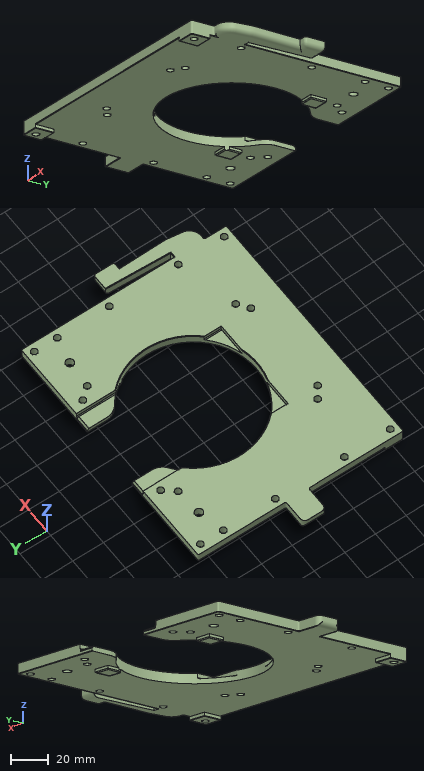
import math

import cadquery as cq

plate_width = 160.0
plate_depth = 134.0
plate_thickness = 6.0
plate_corner_radius = 1.0
bottom_edge_chamfer = 0.29
overall_width = 192.0
overall_height = 8.0
back_y = plate_depth / 2
side_x = plate_width / 2
foot_height = overall_height - plate_thickness

opening_y = 12.5
opening_radius = 41.6
opening_rim_chamfer = 0.4
mouth_half_width = 20.3
lip_radius = 10.0

recess_half_width = 30.1
recess_front_y = -27.6
recess_depth = 3.0
recess_floor_chamfer = 0.5
recess_back_chamfer = 1.2

screw_hole_diameter = 4.0
edge_hole_x = 75.0
edge_hole_ys = (62.0, 47.0, 13.0, -32.0, -62.0)
inner_hole_points = ((35.1, 59.1), (41.0, 52.0), (37.0, -42.0), (30.1, -47.0))
dowel_hole_diameter = 5.0
dowel_hole_x = 58.3
dowel_hole_y = 50.9

foot_size = 11.9
pad_size = 10.2
pad_edge_chamfer = 0.5
pad_x = 40.3
pad_y = 37.5

tab_front_y = -5.2
tab_width = 15.0
tab_end_radius = 3.0
hook_top_y = 8.3
hook_corner_radius = 1.5
clip_bottom_radius = 2.9
clip_outer_x = 91.2
clip_bend_x = 91.7
clip_bend_y = -35.5
clip_bend_radius = 19.2
clip_heel_x = 89.5
clip_heel_radius = 8.0
clip_root_y = -52.5
slot_bottom_y = -33.0
slot_bottom_x = 83.3
slot_top_x = 85.0
slot_rim_chamfer = 0.4
root_radius = 1.0
root_overlap = 2.0
pick_margin = 0.2


def block(x_min, x_max, y_min, y_max, z_top, height):
    """Box given by its limits in X and Y, hanging down from z_top."""
    return (
        cq.Workplane("XY", origin=(0, 0, z_top - height))
        .moveTo((x_min + x_max) / 2, (y_min + y_max) / 2)
        .rect(x_max - x_min, y_max - y_min)
        .extrude(height)
    )


def both_sides(points):
    return [(side * x, y) for x, y in points for side in (-1, 1)]


def make_plate():
    plate = block(-side_x, side_x, -back_y, back_y, 0, plate_thickness)
    plate = plate.edges("|Z").fillet(plate_corner_radius)
    return plate.faces("<Z").edges().chamfer(bottom_edge_chamfer)


def make_feet():
    """Full-height blocks at the front corners that stand below the plate."""
    foot = block(-side_x, foot_size - side_x, -back_y, foot_size - back_y, 0, overall_height)
    foot = foot.edges("|Z and <X and <Y").fillet(plate_corner_radius)
    foot = foot.faces("<Z").edges().chamfer(bottom_edge_chamfer)
    return foot.union(foot.mirror("YZ"))


def make_tab():
    tab_left_x = -overall_width / 2
    tab_back_y = tab_front_y + tab_width
    tab = block(tab_left_x, root_overlap - side_x, tab_front_y, tab_back_y, 0, plate_thickness)
    bottom_round = tab.edges("<X and <Z").fillet(tab_end_radius)
    bottom_round = bottom_round.edges("|X and <Z").chamfer(bottom_edge_chamfer)
    return tab.edges("|Z and <X").fillet(tab_end_radius).intersect(bottom_round)


def make_clip():
    root_x = side_x - root_overlap
    clip = (
        cq.Workplane("XY", origin=(0, 0, -plate_thickness))
        .moveTo(root_x, clip_root_y)
        .lineTo(clip_heel_x, clip_root_y)
        .lineTo(clip_bend_x, clip_bend_y)
        .lineTo(clip_outer_x, tab_front_y)
        .lineTo(overall_width / 2, tab_front_y)
        .lineTo(overall_width / 2, hook_top_y)
        .lineTo(slot_top_x, hook_top_y)
        .lineTo(slot_bottom_x, slot_bottom_y)
        .lineTo(root_x, slot_bottom_y)
        .close()
        .extrude(plate_thickness)
    )
    heel = cq.selectors.NearestToPointSelector((clip_heel_x, clip_root_y, -plate_thickness / 2))
    bend = cq.selectors.NearestToPointSelector((clip_bend_x, clip_bend_y, -plate_thickness / 2))
    clip = clip.edges("|Z and >X").fillet(hook_corner_radius)
    clip = clip.edges(heel).fillet(clip_heel_radius)
    clip = clip.edges(bend).fillet(clip_bend_radius)
    slot_rim = cq.selectors.BoxSelector(
        (root_x, slot_bottom_y - pick_margin, -pick_margin),
        (slot_top_x, hook_top_y - pick_margin, pick_margin),
    )
    clip = clip.edges(slot_rim).chamfer(slot_rim_chamfer)
    pick_bottom_z = -plate_thickness - pick_margin
    pick_top_z = -plate_thickness + pick_margin
    below_slot = cq.selectors.BoxSelector(
        (root_x + pick_margin, clip_root_y - pick_margin, pick_bottom_z),
        (overall_width, slot_bottom_y - pick_margin, pick_top_z),
    )
    outward_of_slot = cq.selectors.BoxSelector(
        (slot_top_x + pick_margin, slot_bottom_y, pick_bottom_z),
        (overall_width, hook_top_y - pick_margin, pick_top_z),
    )
    return clip.edges(below_slot + outward_of_slot).fillet(clip_bottom_radius)


def make_pads():
    pads = (
        cq.Workplane("XY", origin=(0, 0, -overall_height))
        .pushPoints(both_sides([(pad_x, pad_y)]))
        .rect(pad_size, pad_size)
        .extrude(foot_height)
    )
    return pads.faces("<Z").edges().chamfer(pad_edge_chamfer)


def make_opening():
    """Round opening with a chamfered top rim, joined to a mouth with rounded lips."""
    opening = (
        cq.Workplane("XY", origin=(0, opening_y, -overall_height))
        .circle(opening_radius)
        .extrude(overall_height)
    )
    rim = (
        cq.Workplane("XY", origin=(0, opening_y, 0))
        .circle(opening_radius + opening_rim_chamfer)
        .extrude(-opening_rim_chamfer, taper=45)
    )
    lip_x = mouth_half_width + lip_radius
    center_distance = opening_radius + lip_radius
    lip_rise = math.sqrt(center_distance**2 - lip_x**2)
    lip_y = opening_y + lip_rise
    touch_x = lip_x * opening_radius / center_distance
    touch_y = opening_y + lip_rise * opening_radius / center_distance
    lips = (
        cq.Workplane("XY", origin=(0, 0, -overall_height))
        .pushPoints(both_sides([(lip_x, lip_y)]))
        .circle(lip_radius)
        .extrude(overall_height)
    )
    mouth = block(-touch_x, touch_x, touch_y, lip_y, 0, overall_height).cut(lips)
    mouth = mouth.union(block(-mouth_half_width, mouth_half_width, opening_y, back_y, 0, overall_height))
    return opening.union(rim).union(mouth)


def drill(points, diameter):
    return (
        cq.Workplane("XY", origin=(0, 0, -overall_height))
        .pushPoints(both_sides(points))
        .circle(diameter / 2)
        .extrude(overall_height)
    )


def make_recess():
    recess = block(-recess_half_width, recess_half_width, recess_front_y, back_y, 0, recess_depth)
    recess = recess.edges("|Y and <Z").chamfer(recess_floor_chamfer)
    floor_width = 2 * (recess_half_width - recess_floor_chamfer)
    back_wedge = (
        cq.Workplane("YZ", origin=(-floor_width / 2, back_y, -recess_depth))
        .polyline([(0, 0), (-recess_back_chamfer, 0), (0, -recess_back_chamfer)])
        .close()
        .extrude(floor_width)
    )
    return recess.union(back_wedge)


def round_roots(body):
    """Round the inner corners where the tab and the clip leave the plate sides."""
    root_points = (
        (-side_x, tab_front_y),
        (-side_x, tab_front_y + tab_width),
        (side_x, clip_root_y),
    )
    for x, y in root_points:
        root_edge = cq.selectors.NearestToPointSelector((x, y, -plate_thickness / 2))
        body = body.edges("|Z").edges(root_edge).fillet(root_radius)
    return body


result = make_plate().union(make_feet()).union(make_pads()).union(make_tab()).union(make_clip())
result = round_roots(result)
result = result.cut(make_opening()).cut(make_recess())
result = result.cut(drill([(edge_hole_x, y) for y in edge_hole_ys], screw_hole_diameter))
result = result.cut(drill(inner_hole_points, screw_hole_diameter))
result = result.cut(drill([(dowel_hole_x, dowel_hole_y)], dowel_hole_diameter))